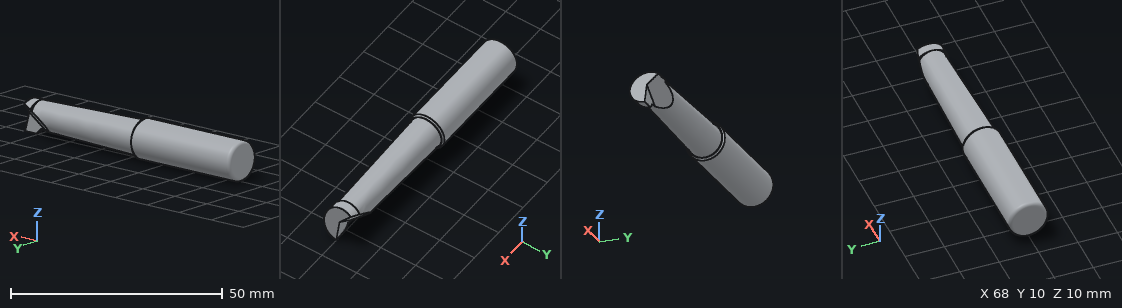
import cadquery as cq
import math

length = 68.0
shank_diameter = 10.0
shank_radius = shank_diameter / 2
shank_length = 31.0
rear_round = 0.95
shoulder_chamfer = 0.5

neck_root_radius = 4.4
neck_end_radius = 3.6
neck_end = 63.05

head_radius = (shank_radius + neck_end_radius) / 2
head_center_z = (neck_end_radius - shank_radius) / 2
flare_length = shank_radius - neck_end_radius
end_face_top = 65.7

flute_corner_x = 66.8
flute_run_out_angle = 35.0
flute_roof_angle = 45.0
flute_reach = 13.6


def make_shank():
    shank = cq.Workplane("YZ").circle(shank_radius).extrude(shank_length)
    shank = shank.faces("<X").edges().fillet(rear_round)
    return shank.faces(">X").edges().chamfer(shoulder_chamfer)


def make_neck():
    return (
        cq.Workplane("XY")
        .moveTo(shank_length, 0)
        .lineTo(shank_length, neck_root_radius)
        .lineTo(neck_end, neck_end_radius)
        .lineTo(neck_end, 0)
        .close()
        .revolve(360, (0, 0, 0), (1, 0, 0))
    )


def make_head():
    cylinder = (
        cq.Workplane("YZ", origin=(neck_end, 0, 0))
        .center(0, head_center_z)
        .circle(head_radius)
        .extrude(length - neck_end)
    )
    flare_and_rake = (
        cq.Workplane("XY")
        .moveTo(neck_end, 0)
        .lineTo(neck_end, neck_end_radius)
        .lineTo(neck_end + flare_length, shank_radius)
        .lineTo(length, shank_radius)
        .lineTo(length, 0)
        .close()
        .revolve(360, (0, 0, 0), (1, 0, 0))
    )
    beyond_rake = (
        cq.Workplane("XZ")
        .moveTo(end_face_top, neck_end_radius)
        .lineTo(length, neck_end_radius)
        .lineTo(length, -shank_radius)
        .close()
        .extrude(shank_radius, both=True)
    )
    return cylinder.intersect(flare_and_rake).cut(beyond_rake)


def make_flute():
    roof_rise = flute_reach * math.tan(math.radians(flute_roof_angle))
    wedge = (
        cq.Workplane("YZ", origin=(flute_corner_x, 0, 0))
        .moveTo(0, 0)
        .lineTo(flute_reach, roof_rise)
        .lineTo(flute_reach, -flute_reach)
        .lineTo(0, -flute_reach)
        .close()
        .extrude(flute_reach, both=True)
    )
    corner = (flute_corner_x, 0, 0)
    along_y = (flute_corner_x, 1, 0)
    return wedge.rotate(corner, along_y, -flute_run_out_angle)


result = make_shank().union(make_neck()).union(make_head()).cut(make_flute())